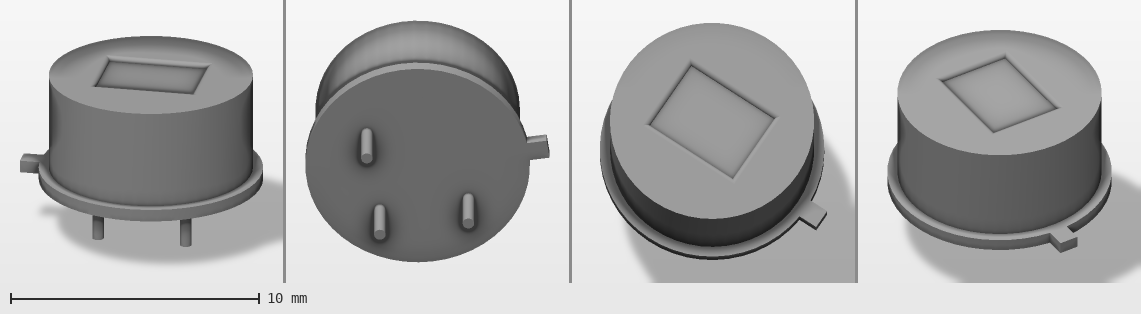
import cadquery as cq

flange_diameter = 9.014
flange_thickness = 0.5

can_diameter = 8.2
can_height = 4.0
can_top = flange_thickness + can_height

diagonal_angle = 45.0

tab_width = 0.8
tab_reach = 5.29

window_length = 4.0
window_width = 3.0
rim_radius = 0.2
window_depth = rim_radius
opening_depth = 2 * rim_radius

pin_diameter = 0.46
pin_length = 2.0
pin_circle_radius = 2.54
pin_angles = [-90.0, 0.0, 90.0]


def make_flange():
    disc = cq.Workplane("XY").circle(flange_diameter / 2).extrude(flange_thickness)
    tab = (
        cq.Workplane("XY")
        .center(-tab_reach / 2, 0)
        .rect(tab_reach, tab_width)
        .extrude(flange_thickness)
        .rotate((0, 0, 0), (0, 0, 1), diagonal_angle)
    )
    return disc.union(tab)


def window_block(top, height):
    """Upright block with the window's outline, hanging down from the given level."""
    return (
        cq.Workplane("XY", origin=(0, 0, top - height))
        .rect(window_length, window_width)
        .extrude(height)
        .rotate((0, 0, 0), (0, 0, 1), diagonal_angle)
    )


def make_can():
    can = cq.Workplane("XY", origin=(0, 0, flange_thickness)).circle(can_diameter / 2).extrude(can_height)
    opened = can.cut(window_block(can_top, opening_depth))
    rounded = opened.faces(">Z").edges("%LINE").fillet(rim_radius)
    pane = window_block(can_top - window_depth, opening_depth - window_depth)
    return rounded.union(pane)


def make_pin(angle):
    return (
        cq.Workplane("XY")
        .center(pin_circle_radius, 0)
        .circle(pin_diameter / 2)
        .extrude(-pin_length)
        .rotate((0, 0, 0), (0, 0, 1), angle)
    )


result = make_flange().union(make_can())
for pin_angle in pin_angles:
    result = result.union(make_pin(pin_angle))